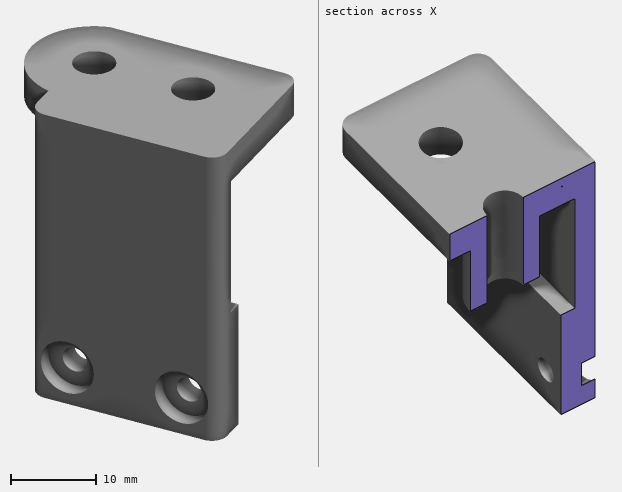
import cadquery as cq
import math

plate_width = 25.0
plate_thickness = 3.0
total_height = 39.0
corner_radius = 2.0

pad_thickness = 5.0
pad_height = 16.5

flange_depth = 21.0
flange_thickness = 4.5
flange_bottom = total_height - flange_thickness

pivot_x = 2.0
pivot_spacing = 13.0
pivot_y = (pad_thickness + flange_depth) / 2
pivot_hole_diameter = 5.2

boss_diameter = 10.0
boss_length = 10.0

end_half_width = (flange_depth - pad_thickness) / 2
end_radius = math.hypot(pivot_x, end_half_width)

screw_inset = 5.0
screw_height = 5.0
screw_diameter = 3.2
head_diameter = 7.0
head_depth = 2.0


def make_upright():
    """Plate with its foot pad, both outer vertical edges rounded."""
    plate = cq.Workplane("XY").box(plate_width, plate_thickness, total_height, centered=False)
    pad = cq.Workplane("XY").box(plate_width, pad_thickness, pad_height, centered=False)
    return plate.union(pad).edges("|Z and <Y").fillet(corner_radius)


def make_flange():
    """Top flange whose left end is an arc and whose right corners are rounded."""
    outline = (
        cq.Workplane("XY", origin=(0, 0, flange_bottom))
        .moveTo(corner_radius, 0)
        .lineTo(plate_width, 0)
        .lineTo(plate_width, flange_depth)
        .lineTo(0, flange_depth)
        .threePointArc((pivot_x - end_radius, pivot_y), (0, pad_thickness))
        .lineTo(0, corner_radius)
        .radiusArc((corner_radius, 0), -corner_radius)
        .close()
    )
    return outline.extrude(flange_thickness).edges("|Z and >X").fillet(corner_radius)


def make_boss():
    """Cylinder under the left flange hole."""
    return (
        cq.Workplane("XY", origin=(pivot_x, pivot_y, flange_bottom))
        .circle(boss_diameter / 2)
        .extrude(-boss_length)
    )


def make_pivot_holes():
    """Cutters for the two vertical holes, long enough to pass through the boss."""
    return (
        cq.Workplane("XY", origin=(pivot_x, pivot_y, total_height))
        .pushPoints([(0, 0), (pivot_spacing, 0)])
        .circle(pivot_hole_diameter / 2)
        .extrude(-(flange_thickness + boss_length))
    )


def make_screw_hole(x):
    """Cutter for one screw hole, counterbored from the outer face."""
    face = cq.Workplane("XZ", origin=(x, 0, screw_height))
    shank = face.circle(screw_diameter / 2).extrude(-pad_thickness)
    head = face.circle(head_diameter / 2).extrude(-head_depth)
    return shank.union(head)


result = make_upright().union(make_flange()).union(make_boss()).cut(make_pivot_holes())
for screw_x in (screw_inset, plate_width - screw_inset):
    result = result.cut(make_screw_hole(screw_x))